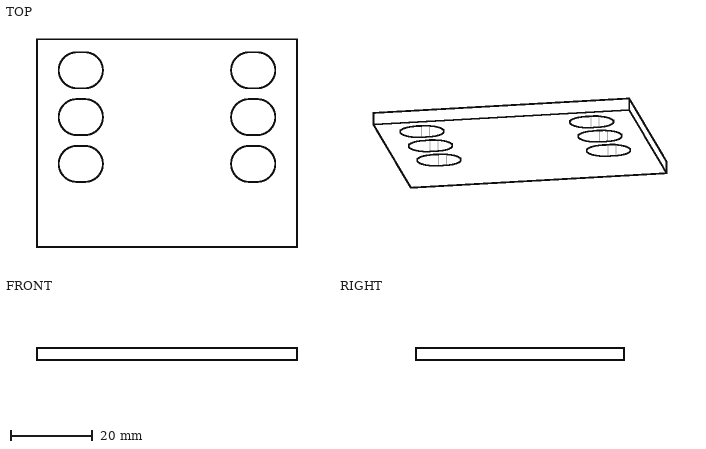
import cadquery as cq

plate_length = 63.5
plate_width = 50.8
plate_thickness = 3.0

slot_width = 8.73
slot_travel = 2.0
slot_length = slot_width + slot_travel
slot_rows = 3
slot_row_pitch = 11.43
slot_column_spacing = 42.07
first_row_from_back_edge = 7.62


def make_plate():
    return cq.Workplane("XY").box(
        plate_length, plate_width, plate_thickness, centered=(True, True, False)
    )


def slot_centers():
    first_row_y = plate_width / 2 - first_row_from_back_edge
    return [
        (side * slot_column_spacing / 2, first_row_y - row * slot_row_pitch)
        for side in (-1, 1)
        for row in range(slot_rows)
    ]


def cut_slots(plate):
    return (
        plate.faces(">Z")
        .workplane(origin=(0, 0, plate_thickness))
        .pushPoints(slot_centers())
        .slot2D(slot_length, slot_width)
        .cutThruAll()
    )


result = cut_slots(make_plate())